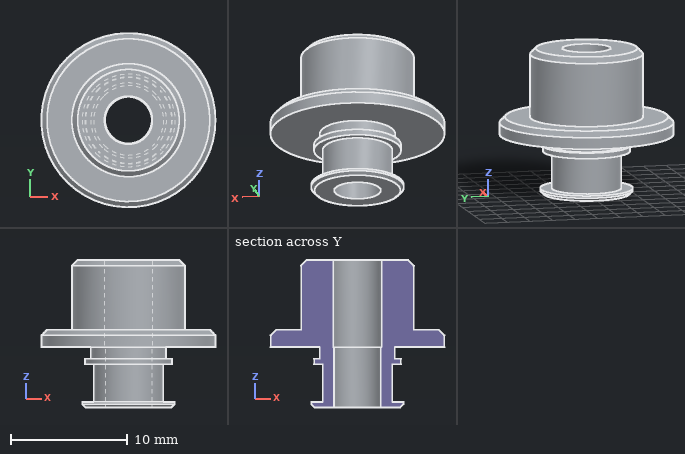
import cadquery as cq

total_height = 12.7
flange_bottom = 5.2
flange_thickness = 1.5
edge_chamfer = 0.5

body_diameter = 9.74
flange_diameter = 15.0
neck_diameter = 6.5
ring_diameter = 7.5
stem_diameter = 6.0
foot_diameter = 8.0

foot_thickness = 0.5
foot_chamfer = 0.3
ring_thickness = 0.5
neck_height = 1.0

upper_bore_diameter = 4.14
lower_bore_diameter = 4.0

flange_top = flange_bottom + flange_thickness
ring_top = flange_bottom - neck_height
ring_bottom = ring_top - ring_thickness


def cylinder(diameter, bottom, top):
    """Cylinder on the Z axis between two heights."""
    return cq.Workplane("XY").workplane(offset=bottom).circle(diameter / 2).extrude(top - bottom)


foot = cylinder(foot_diameter, 0, foot_thickness).faces("<Z").edges().chamfer(foot_chamfer)
stem = cylinder(stem_diameter, foot_thickness, ring_bottom)
ring = cylinder(ring_diameter, ring_bottom, ring_top)
neck = cylinder(neck_diameter, ring_top, flange_bottom)
flange = cylinder(flange_diameter, flange_bottom, flange_top).faces(">Z").edges().chamfer(edge_chamfer)
body = cylinder(body_diameter, flange_top, total_height).faces(">Z").edges().chamfer(edge_chamfer)

solid = foot.union(stem).union(ring).union(neck).union(flange).union(body)

lower_bore = cylinder(lower_bore_diameter, 0, flange_bottom)
upper_bore = cylinder(upper_bore_diameter, flange_bottom, total_height)

result = solid.cut(lower_bore).cut(upper_bore)